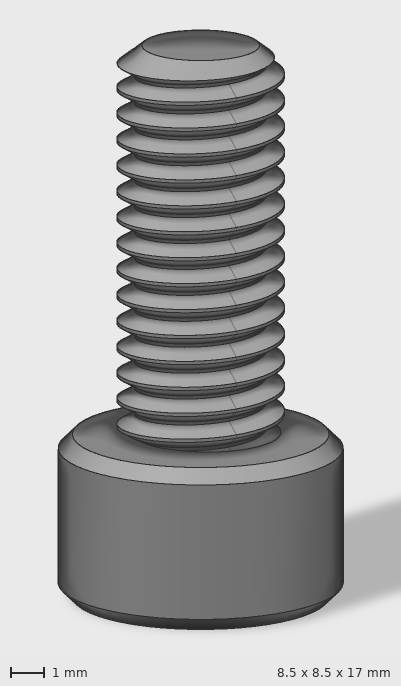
import cadquery as cq
import math

total_length = 17.0
head_diameter = 8.5
head_height = 5.0
head_chamfer = 0.42

major_diameter = 5.0
minor_diameter = 3.96
thread_turns = 15
pitch = (total_length - head_height) / thread_turns
flank_half_angle = 30.0
root_width = pitch / 8
groove_start = 4.34
groove_turns = thread_turns + 2
mouth_clearance = 0.05

tip_diameter = 3.5
tip_length = 0.58

major_radius = major_diameter / 2
minor_radius = minor_diameter / 2
tip_radius = tip_diameter / 2


def make_head():
    """Cylindrical head, chamfered around both ends."""
    head = cq.Workplane("XY").circle(head_diameter / 2).extrude(head_height)
    return head.edges().chamfer(head_chamfer)


def make_shank_blank():
    """Plain shank with the conical tip, reaching slightly into the head."""
    bottom = head_height - head_chamfer
    profile = [
        (0, bottom),
        (major_radius, bottom),
        (major_radius, total_length - tip_length),
        (tip_radius, total_length),
        (0, total_length),
    ]
    return cq.Workplane("XZ").polyline(profile).close().revolve(360, (0, 0), (0, 1))


def planar_face(corners):
    return cq.Face.makeFromWires(cq.Wire.makePolygon(corners, close=True))


def make_thread_groove():
    """Right-handed V groove, built from one-turn helical faces and closed at both ends."""
    outer_radius = major_radius + mouth_clearance
    half_root = root_width / 2
    half_mouth = half_root + (outer_radius - minor_radius) * math.tan(math.radians(flank_half_angle))
    section = [
        (minor_radius, -half_root),
        (outer_radius, -half_mouth),
        (outer_radius, half_mouth),
        (minor_radius, half_root),
    ]

    faces = []
    for turn in range(groove_turns):
        turn_start = groove_start + turn * pitch
        helices = [
            cq.Wire.makeHelix(pitch, pitch, radius, center=cq.Vector(0, 0, turn_start + offset)).Edges()[0]
            for radius, offset in section
        ]
        for i in range(len(helices)):
            faces.append(cq.Face.makeRuledSurface(helices[i - 1], helices[i]))

    groove_end = groove_start + groove_turns * pitch
    for height in (groove_start, groove_end):
        faces.append(planar_face([cq.Vector(radius, 0, height + offset) for radius, offset in section]))
    return cq.Solid.makeSolid(cq.Shell.makeShell(faces))


threaded_shank = make_shank_blank().cut(cq.Workplane(make_thread_groove()))
result = make_head().union(threaded_shank)